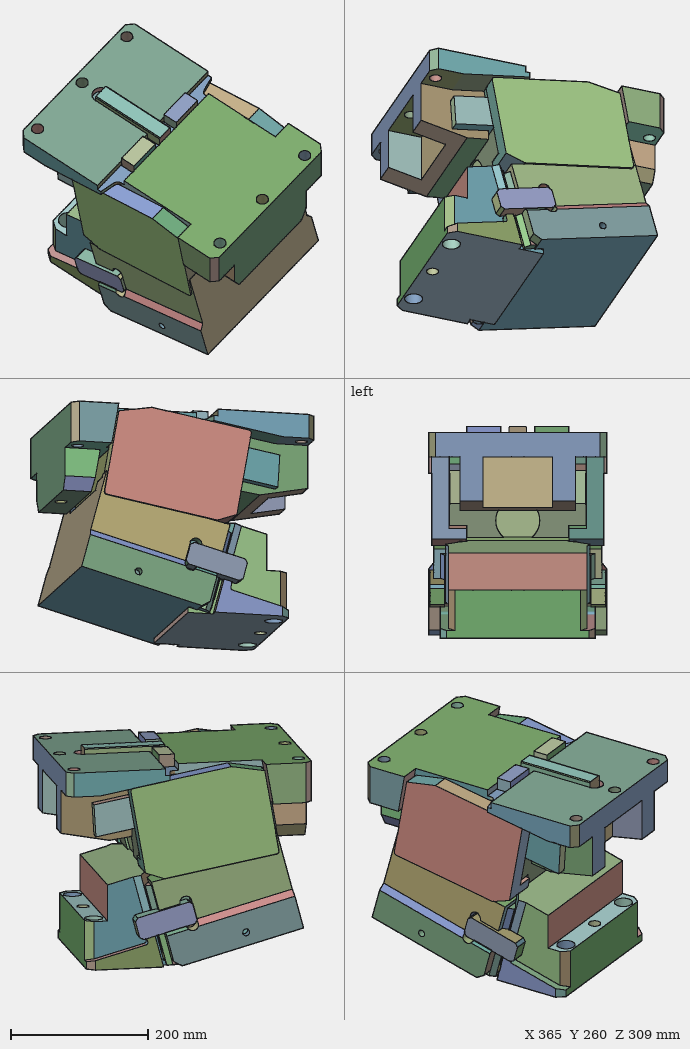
import cadquery as cq
import math

LENGTH = 365.0
WIDTH = 260.0
HEIGHT = 309.0
SLIDE_ANGLE = 10.0
WEDGE_ANGLE = 15.0
GAP = 0.7
OVERLAP = 3.5
FAR = 547.5

PLATE_TOP = 300.5
PLATE_BOTTOM = 264.5
PLATE_CORNER = 10.0
REAR_BLOCK_X = 288.5
REAR_BLOCK_BOTTOM = 240.5
PLATE_HOLE_RADIUS = 8.8
PLATE_HOLE_INSET = 15.0
FRONT_HOLE_Y = 104.8
REAR_HOLE_Y = 99.5

CHANNEL_START = 146.5
CHANNEL_END = 171.5
KEY_BOTTOM = 290.5
CROSS_KEY_START = 147.5
CROSS_KEY_END = 170.5
CROSS_KEY_LENGTH = 50.0
CROSS_KEY_CENTRE_Y = 49.5
LONG_KEY_START = 49.5
LONG_KEY_END = 169.0
LONG_KEY_WIDTH = 25.5
LONG_KEY_CHAMFER = 1.5

LEG_WIDTH = 168.5
LEG_FRONT_BOTTOM = 200.5
LEG_LOW_X = 72.0
LEG_LOW_Z = 186.5
LEG_END_X = 105.0
LEG_END_Z = 191.3
LEG_NOTCH_WIDTH = 100.7
LEG_NOTCH_DEPTH = 51.0

BACK_WALL_BOTTOM = 179.2
BACK_WALL_CHAMFER_HEIGHT = 19.0
BACK_WALL_CHAMFER_WIDTH = 11.0

CHEEK_CORNER_X = 119.7
CHEEK_CORNER_Z = 130.3
CHEEK_OUTER_Y = 125.5
CHEEK_INNER_Y = 100.0
CHEEK_LENGTH = 200.0
CHEEK_HEIGHT = 143.8
CHEEK_PEAK = 152.5
CHEEK_REAR_HEIGHT = 127.0
CHEEK_TOE_LENGTH = 27.0
CHEEK_TOE_HEIGHT = 15.0
CHEEK_FILLET = 4.5
LIP_TOP = 30.0
LIP_INNER_Y = 75.0
FLOOR_TOP = 15.7
RAIL_BOTTOM = 34.0

WEDGE_TOE_X = 161.0
WEDGE_TOE_Z = 2.0
WEDGE_HALF_WIDTH = 122.5
WEDGE_FACE_Y = 112.8
WEDGE_LENGTH = 197.5
WEDGE_FRONT_HEIGHT = 133.0
WEDGE_REAR_HEIGHT = 152.5
WEDGE_NOSE = 8.0
WEDGE_NOSE_Y = 106.5
WEDGE_NOSE_BOTTOM = 1.0
WEDGE_NOSE_TOP = 126.0
SKIRT_HEIGHT = 50.0
SKIRT_RAMP_TOP = 59.5
SKIRT_TOE = 10.2
PIN_HOLE_RADIUS = 5.0
PIN_HOLE_DEPTH = 14.5
PIN_HOLE_X = 266.0
PIN_HOLE_Z = 50.5

CLIP_START = -38.7
CLIP_END = 50.0
CLIP_BOTTOM = 54.8
CLIP_TOP = 88.7
CLIP_INNER_Y = 106.5
CLIP_OUTER_Y = 127.8
CLIP_CHAMFER = 4.7
RELIEF_RADIUS = 8.8

BASE_FRONT_X = 33.5
BASE_STEP_X = 65.7
BASE_STEP_Z = 70.0
BASE_TOP = 142.7
BASE_HALF_WIDTH = 101.0
BASE_CORNER_X = 12.0
BASE_CORNER_Y = 9.5
BASE_LIP_Y = 105.0
BASE_LIP_START = -20.8
BASE_FACE = -10.0
FLANGE_HALF_WIDTH = 113.0
FLANGE_TOP = 42.0
HOOK_START = -27.0
HOOK_END = -14.2
HOOK_FILLET = 3.5
TONGUE_END = 11.0
TONGUE_END_Y = 73.0
TONGUE_BOTTOM = 22.0
FOOT_END_X = 184.5
FOOT_HEIGHT = 7.3
BASE_BOLT_X = 49.5
BASE_BOLT_Y = 78.0
BASE_BOLT_RADIUS = 13.0
BASE_PIN_RADIUS = 8.8

def tilted_plane(x, z, angle):
    """Plane seen from -Y whose first axis climbs at the angle above +X."""
    a = math.radians(angle)
    return cq.Plane(origin=(x, 0, z), xDir=(math.cos(a), 0, math.sin(a)), normal=(0, -1, 0))


LEVEL = tilted_plane(0, 0, 0)
SLIDE = tilted_plane(CHEEK_CORNER_X, CHEEK_CORNER_Z, SLIDE_ANGLE)
WEDGE = tilted_plane(WEDGE_TOE_X, WEDGE_TOE_Z, WEDGE_ANGLE)


def to_world(plane, u, v):
    """World (x, z) of a point given in a tilted plane."""
    point = plane.toWorldCoords((u, v, 0))
    return point.x, point.z


def slab(plane, points, half_width):
    """Prism centred on the XZ plane, reaching half_width to each side."""
    return cq.Workplane(plane).polyline(points).close().extrude(half_width, both=True)


def side_slab(plane, points, inner, outer):
    """Prism between two distances from the XZ plane, on the -Y side."""
    return cq.Workplane(plane).workplane(offset=inner).polyline(points).close().extrude(outer - inner)


def wedge_plan_prism(points, bottom, top):
    """Prism standing square to the wedge direction, from (distance along it, Y) points."""
    plane = cq.Plane(
        origin=WEDGE.toWorldCoords((0, bottom, 0)).toTuple(), xDir=WEDGE.xDir, normal=WEDGE.yDir
    )
    return cq.Workplane(plane).polyline(points).close().extrude(top - bottom)


def rectangle(left, bottom, right, top):
    return [(left, bottom), (right, bottom), (right, top), (left, top)]


def block(x0, x1, y0, y1, z0, z1):
    return cq.Workplane("XY").box(x1 - x0, y1 - y0, z1 - z0, centered=False).translate((x0, y0, z0))


def both_sides(shape):
    return shape.union(shape.mirror("XZ"))


def driver_plate():
    profile = [
        (0, PLATE_BOTTOM),
        (REAR_BLOCK_X, PLATE_BOTTOM),
        (REAR_BLOCK_X, REAR_BLOCK_BOTTOM),
        (LENGTH, REAR_BLOCK_BOTTOM),
        (LENGTH, PLATE_TOP),
        (0, PLATE_TOP),
    ]
    plate = slab(LEVEL, profile, WIDTH / 2)
    return plate.edges("|Z").edges("<X or >X").chamfer(PLATE_CORNER)


def cheek_bays():
    """Room for the slide's cheeks under and through the plate sides."""
    roof = CHEEK_HEIGHT + GAP
    front = -146.0
    open_from = 109.5
    rear = 203.0
    above = 219.0
    under = [(front, 0), (rear, 0), (rear, above), (open_from, above), (open_from, roof), (front, roof)]
    clearance = side_slab(SLIDE, under, CHEEK_INNER_Y - GAP, FAR)
    sloped_roof = [(front, 0), (open_from, 0), (open_from, roof), (front, roof)]
    clearance = clearance.union(side_slab(SLIDE, sloped_roof, LEG_WIDTH / 2, FAR))

    window_outer_x = 152.5
    window_inner_x = 159.5
    window_rear_x = 284.7
    window_fillet = 9.0
    window_inner_y = GAP - CHEEK_INNER_Y
    window = (
        cq.Workplane("XY", origin=(0, 0, REAR_BLOCK_BOTTOM))
        .moveTo(window_outer_x, -WIDTH / 2)
        .lineTo(window_inner_x, window_inner_y)
        .lineTo(window_rear_x, window_inner_y)
        .lineTo(window_rear_x, -WIDTH / 2)
        .close()
        .extrude(PLATE_TOP - REAR_BLOCK_BOTTOM)
    )
    window = window.edges("|Z").edges(cq.selectors.NearestToPointSelector(
        (window_inner_x, window_inner_y, PLATE_TOP))).fillet(window_fillet)
    return both_sides(clearance.union(window))


def plate_holes():
    front = [(PLATE_HOLE_INSET, y) for y in (-FRONT_HOLE_Y, 0, FRONT_HOLE_Y)]
    rear = [(LENGTH - PLATE_HOLE_INSET, y) for y in (-REAR_HOLE_Y, 0, REAR_HOLE_Y)]
    return cq.Workplane("XY").pushPoints(front + rear).circle(PLATE_HOLE_RADIUS).extrude(FAR)


def key_seats():
    channel = block(CHANNEL_START, CHANNEL_END, -FAR, FAR, KEY_BOTTOM, HEIGHT)
    half = LONG_KEY_WIDTH / 2
    groove = block(LONG_KEY_START, CHANNEL_END, -half, half, KEY_BOTTOM, HEIGHT)
    round_end = (
        cq.Workplane("XY", origin=(LONG_KEY_START, 0, KEY_BOTTOM)).circle(half).extrude(HEIGHT - KEY_BOTTOM)
    )
    return channel.union(groove).union(round_end)


def keys():
    half = LONG_KEY_WIDTH / 2
    bars = block(LONG_KEY_START, LONG_KEY_END, -half, half, KEY_BOTTOM, HEIGHT)
    bars = bars.edges("|X and >Z").chamfer(LONG_KEY_CHAMFER)
    for centre in (-CROSS_KEY_CENTRE_Y, CROSS_KEY_CENTRE_Y):
        near = centre - CROSS_KEY_LENGTH / 2
        far = centre + CROSS_KEY_LENGTH / 2
        bars = bars.union(block(CROSS_KEY_START, CROSS_KEY_END, near, far, KEY_BOTTOM, HEIGHT))
    return bars


def driver_legs():
    profile = [
        (0, PLATE_BOTTOM),
        (0, LEG_FRONT_BOTTOM),
        (LEG_LOW_X, LEG_LOW_Z),
        (LEG_END_X, LEG_END_Z),
        (LEG_END_X, PLATE_BOTTOM),
    ]
    return slab(LEVEL, profile, LEG_WIDTH / 2)


def leg_notch():
    half = LEG_NOTCH_WIDTH / 2
    return block(0, LEG_NOTCH_DEPTH, -half, half, 0, PLATE_BOTTOM)


def driver_rail():
    """Guide rail that runs along the slide's travel, with a narrower keel and a round spring seat."""
    nose_lower = (-58.5, 77.5)
    nose_upper = (-53.0, 125.2)
    front = 3.5
    rear = 197.0
    profile = [
        nose_lower,
        (front, nose_lower[1]),
        (front, RAIL_BOTTOM),
        (rear, RAIL_BOTTOM),
        (rear, CHEEK_REAR_HEIGHT),
        (CHEEK_PEAK, CHEEK_HEIGHT + GAP),
        (front, CHEEK_HEIGHT + GAP),
        (front, nose_upper[1]),
        nose_upper,
    ]
    rail = slab(SLIDE, profile, CHEEK_INNER_Y - GAP)
    keel = slab(SLIDE, rectangle(front, FLOOR_TOP + GAP, rear, RAIL_BOTTOM + OVERLAP), LIP_INNER_Y - GAP)

    seat_radius = 32.0
    seat_depth = 3.5
    seat_height = 41.0
    x, z = to_world(SLIDE, front, seat_height)
    seat = cq.Solid.makeCylinder(seat_radius, seat_depth, cq.Vector(x, 0, z), SLIDE.xDir)
    return rail.union(keel).cut(cq.Workplane(seat))


def back_wall():
    front_edge = 208.8
    lean = math.tan(math.radians(SLIDE_ANGLE))
    edge_x, edge_z = to_world(SLIDE, front_edge, 0)
    top = PLATE_BOTTOM
    profile = [
        (edge_x - (BACK_WALL_BOTTOM - edge_z) * lean, BACK_WALL_BOTTOM),
        (LENGTH, BACK_WALL_BOTTOM),
        (LENGTH, top),
        (edge_x - (top - edge_z) * lean, top),
    ]
    wall = slab(LEVEL, profile, LEG_WIDTH / 2)
    bevel = cq.Workplane("YZ").polyline([
        (-LEG_WIDTH / 2, BACK_WALL_BOTTOM),
        (-LEG_WIDTH / 2 + BACK_WALL_CHAMFER_WIDTH, BACK_WALL_BOTTOM),
        (-LEG_WIDTH / 2, BACK_WALL_BOTTOM + BACK_WALL_CHAMFER_HEIGHT),
    ]).close().extrude(LENGTH)
    return wall.cut(both_sides(bevel))


def make_driver():
    body = driver_plate().cut(cheek_bays())
    body = body.union(driver_rail()).union(driver_legs()).union(back_wall())
    return body.cut(leg_notch()).cut(plate_holes()).cut(key_seats()).union(keys())


def slide_cheeks():
    """Both cheeks with the floor and lips that join them around the driver rail."""
    profile = [
        (CHEEK_TOE_LENGTH, 0),
        (CHEEK_LENGTH, 0),
        (CHEEK_LENGTH, CHEEK_REAR_HEIGHT),
        (CHEEK_PEAK, CHEEK_HEIGHT),
        (0, CHEEK_HEIGHT),
        (0, CHEEK_TOE_HEIGHT),
    ]
    cheeks = slab(SLIDE, profile, CHEEK_OUTER_Y)
    for u, v in ((0, CHEEK_HEIGHT), (CHEEK_LENGTH, 0)):
        corner = cq.selectors.NearestToPointSelector(SLIDE.toWorldCoords((u, v, 0)).toTuple())
        cheeks = cheeks.edges("|Y").edges(corner).fillet(CHEEK_FILLET)
    return cheeks


def rail_channel():
    front = -109.5
    rear = 292.0
    top = 292.0
    upper = slab(SLIDE, rectangle(front, LIP_TOP, rear, top), CHEEK_INNER_Y)
    lower = slab(SLIDE, rectangle(front, FLOOR_TOP, rear, top), LIP_INNER_Y)
    return upper.union(lower)


def floor_notch():
    """Opening between the lips where the floor stops short of the cheeks' front."""
    return slab(SLIDE, rectangle(-CHEEK_TOE_LENGTH, 0, CHEEK_TOE_LENGTH, LIP_TOP), LIP_INNER_Y)


def slide_wedge():
    inside_cheek = (175.2, 124.0)
    profile = [
        (SKIRT_TOE, 0),
        (WEDGE_LENGTH, 0),
        (WEDGE_LENGTH, WEDGE_REAR_HEIGHT),
        inside_cheek,
        (0, WEDGE_FRONT_HEIGHT),
        (0, SKIRT_TOE),
    ]
    wedge = slab(WEDGE, profile, WEDGE_HALF_WIDTH)
    nose_plan = [
        (SKIRT_TOE, -WEDGE_FACE_Y),
        (0, -WEDGE_FACE_Y),
        (-WEDGE_NOSE, -WEDGE_NOSE_Y),
        (-WEDGE_NOSE, WEDGE_NOSE_Y),
        (0, WEDGE_FACE_Y),
        (SKIRT_TOE, WEDGE_FACE_Y),
    ]
    return wedge.union(wedge_plan_prism(nose_plan, WEDGE_NOSE_BOTTOM, WEDGE_NOSE_TOP))


def slide_skirts():
    """Thicker lower sides whose upper edge ramps back to the wedge."""
    profile = [
        (SKIRT_TOE, 0),
        (WEDGE_LENGTH, 0),
        (WEDGE_LENGTH, SKIRT_RAMP_TOP),
        (0, SKIRT_RAMP_TOP),
        (0, SKIRT_TOE),
    ]
    step = WIDTH / 2 - WEDGE_HALF_WIDTH
    skirt = side_slab(WEDGE, profile, WEDGE_FACE_Y, WIDTH / 2)
    ramp_edge = cq.selectors.NearestToPointSelector(
        WEDGE.toWorldCoords((WEDGE_LENGTH / 2, SKIRT_RAMP_TOP, WIDTH / 2)).toTuple())
    skirt = skirt.edges(ramp_edge).chamfer(step, SKIRT_RAMP_TOP - SKIRT_HEIGHT)
    return both_sides(skirt)


def pin_holes():
    hole = (
        cq.Workplane(LEVEL)
        .workplane(offset=WIDTH / 2 - PIN_HOLE_DEPTH)
        .center(PIN_HOLE_X, PIN_HOLE_Z)
        .circle(PIN_HOLE_RADIUS)
        .extrude(PIN_HOLE_DEPTH)
    )
    return both_sides(hole)


def clip_pockets():
    pocket = side_slab(WEDGE, rectangle(CLIP_START, CLIP_BOTTOM, CLIP_END, CLIP_TOP), CLIP_INNER_Y, FAR)
    reliefs = (
        cq.Workplane(WEDGE)
        .workplane(offset=CLIP_INNER_Y)
        .pushPoints([(CLIP_END - RELIEF_RADIUS, v) for v in (CLIP_BOTTOM, CLIP_TOP)])
        .circle(RELIEF_RADIUS)
        .extrude(FAR)
    )
    return both_sides(pocket.union(reliefs))


def clips():
    """Return clips, fixed in the slide and reaching forward over the base hooks."""
    outline = rectangle(CLIP_START, CLIP_BOTTOM, CLIP_END, CLIP_TOP)
    clip = side_slab(WEDGE, outline, CLIP_INNER_Y, CLIP_OUTER_Y)
    return both_sides(clip.edges("|Y").chamfer(CLIP_CHAMFER))


def make_slide():
    body = slide_wedge().union(slide_skirts()).union(slide_cheeks())
    body = body.cut(rail_channel()).cut(pin_holes()).cut(clip_pockets()).union(clips())
    half = BASE_HALF_WIDTH + GAP
    body = body.cut(floor_notch()).cut(base_tongue(GAP))
    return body.cut(block(0, FOOT_END_X + GAP, -half, half, -HEIGHT, FOOT_HEIGHT + GAP))


def base_body():
    tan_wedge = math.tan(math.radians(WEDGE_ANGLE))
    face_top = to_world(WEDGE, BASE_FACE, BASE_TOP)
    face_foot_x = face_top[0] + face_top[1] * tan_wedge
    profile = [
        (BASE_FRONT_X, 0),
        (face_foot_x, 0),
        face_top,
        (BASE_STEP_X, face_top[1] - (face_top[0] - BASE_STEP_X) * tan_wedge),
        (BASE_STEP_X, BASE_STEP_Z),
        (BASE_FRONT_X, BASE_STEP_Z),
    ]
    return slab(LEVEL, profile, BASE_HALF_WIDTH)


def front_corners(half_width):
    """Slanted cuts on the two front vertical corners."""
    corner = (
        cq.Workplane("XY")
        .polyline([
            (BASE_FRONT_X, -half_width),
            (BASE_FRONT_X + BASE_CORNER_X, -half_width),
            (BASE_FRONT_X, -half_width + BASE_CORNER_Y),
        ])
        .close()
        .extrude(BASE_STEP_Z)
    )
    return both_sides(corner)


def base_lips():
    """Sides that flare outward just before the face toward the slide."""
    root_y = BASE_HALF_WIDTH - OVERLAP
    plan = [
        (BASE_LIP_START, -BASE_HALF_WIDTH),
        (BASE_FACE, -BASE_LIP_Y),
        (BASE_FACE, -root_y),
        (BASE_LIP_START, -root_y),
    ]
    return both_sides(wedge_plan_prism(plan, CLIP_BOTTOM, BASE_TOP))


def base_tongue(clearance=0.0):
    """Tapered tongue on the base face; with a clearance it is the slide's matching recess."""
    root = BASE_FACE - clearance
    end = TONGUE_END + clearance
    side_clearance = 2 * clearance
    root_y = BASE_LIP_Y + side_clearance
    end_y = TONGUE_END_Y + side_clearance
    plan = [(root, -root_y), (end, -end_y), (end, end_y), (root, root_y)]
    return wedge_plan_prism(plan, TONGUE_BOTTOM - clearance, BASE_TOP + clearance)


def base_flange():
    """Wider lower part with a hook behind the clips, level underneath."""
    deep = -109.5
    front = -219.0
    profile = [
        (front, deep),
        (HOOK_END, deep),
        (HOOK_END, CLIP_BOTTOM - GAP),
        (HOOK_START, CLIP_BOTTOM - GAP),
        (HOOK_START, FLANGE_TOP),
        (front, FLANGE_TOP),
    ]
    flange = slab(WEDGE, profile, FLANGE_HALF_WIDTH)
    inner_corner = cq.selectors.NearestToPointSelector(
        WEDGE.toWorldCoords((HOOK_START, FLANGE_TOP, 0)).toTuple())
    flange = flange.edges("|Y").edges(inner_corner).fillet(HOOK_FILLET)
    envelope = block(BASE_FRONT_X, FOOT_END_X, -FAR, FAR, 0, HEIGHT)
    return flange.intersect(envelope)


def base_holes():
    bolts = (
        cq.Workplane("XY")
        .pushPoints([(BASE_BOLT_X, -BASE_BOLT_Y), (BASE_BOLT_X, BASE_BOLT_Y)])
        .circle(BASE_BOLT_RADIUS)
        .extrude(BASE_STEP_Z)
    )
    pin = cq.Workplane("XY").center(BASE_BOLT_X, 0).circle(BASE_PIN_RADIUS).extrude(BASE_STEP_Z)
    return bolts.union(pin)


def make_base():
    foot = block(BASE_STEP_X, FOOT_END_X, -BASE_HALF_WIDTH, BASE_HALF_WIDTH, 0, FOOT_HEIGHT)
    upper = base_body().cut(front_corners(BASE_HALF_WIDTH)).union(base_lips()).union(base_tongue())
    flange = base_flange().cut(front_corners(FLANGE_HALF_WIDTH))
    return upper.union(flange).union(foot).cut(base_holes())


driver = make_driver()
slide = make_slide()
base = make_base()

result = cq.Compound.makeCompound([driver.val(), slide.val(), base.val()])